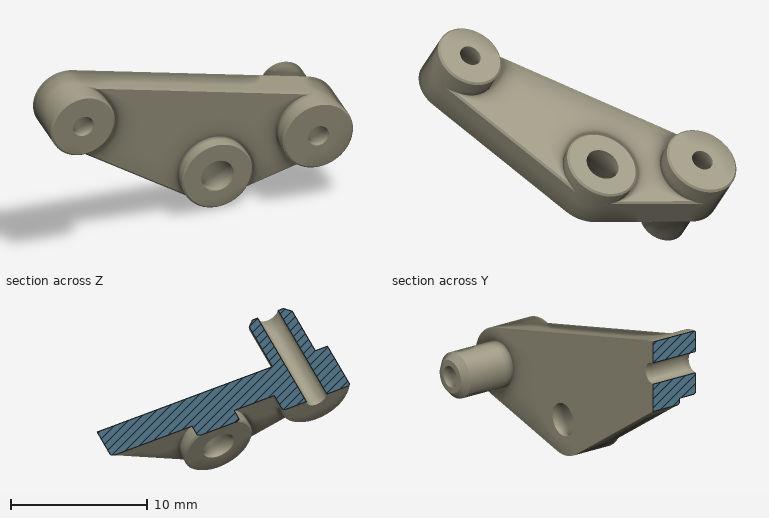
import cadquery as cq
import math

PLATE_THICKNESS = 2.5
END_BOSS_HEIGHT = 4.0
MIDDLE_BOSS_HEIGHT = 3.5
EDGE_CHAMFER = 0.15

LARGE_BOSS_RADIUS = 5.5 / 2
SMALL_BOSS_RADIUS = 5.0 / 2

OVERALL_LENGTH = 23.55
OVERALL_HEIGHT = 11.92
MIDDLE_Y = -7.68
MIDDLE_Z = -2.15

PIN_DIAMETER = 3.5
PIN_LENGTH = 4.5
PIN_CHAMFER = 0.5
SMALL_BORE = 1.63
MIDDLE_BORE = 2.52

FAR_Y = -(OVERALL_LENGTH - LARGE_BOSS_RADIUS - SMALL_BOSS_RADIUS)
FAR_Z = OVERALL_HEIGHT - LARGE_BOSS_RADIUS - SMALL_BOSS_RADIUS + MIDDLE_Z

PIN_PIVOT = ((0.0, 0.0), LARGE_BOSS_RADIUS, END_BOSS_HEIGHT, SMALL_BORE)
MIDDLE_PIVOT = ((MIDDLE_Y, MIDDLE_Z), LARGE_BOSS_RADIUS, MIDDLE_BOSS_HEIGHT, MIDDLE_BORE)
FAR_PIVOT = ((FAR_Y, FAR_Z), SMALL_BOSS_RADIUS, END_BOSS_HEIGHT, SMALL_BORE)

PIVOTS = [PIN_PIVOT, FAR_PIVOT, MIDDLE_PIVOT]


def point_on_circle(center, radius, angle):
    return (center[0] + radius * math.cos(angle), center[1] + radius * math.sin(angle))


def tangent_angle(start, end):
    """Direction of the outward normal of the outer tangent between two bosses."""
    (start_y, start_z), start_radius = start[:2]
    (end_y, end_z), end_radius = end[:2]
    distance = math.hypot(end_y - start_y, end_z - start_z)
    heading = math.atan2(end_z - start_z, end_y - start_y)
    return heading - math.acos((start_radius - end_radius) / distance)


def make_plate():
    """Plate bounded by the bosses' arcs and their outer tangents, front edge chamfered."""
    count = len(PIVOTS)
    angles = [tangent_angle(PIVOTS[i], PIVOTS[(i + 1) % count]) for i in range(count)]
    first_center, first_radius = PIVOTS[0][:2]
    outline = cq.Workplane("YZ").moveTo(*point_on_circle(first_center, first_radius, angles[-1]))
    for i, (center, radius, _, _) in enumerate(PIVOTS):
        arrival = angles[i - 1]
        turn = (angles[i] - arrival) % (2 * math.pi)
        if i > 0:
            outline = outline.lineTo(*point_on_circle(center, radius, arrival))
        middle = point_on_circle(center, radius, arrival + turn / 2)
        outline = outline.threePointArc(middle, point_on_circle(center, radius, angles[i]))
    return outline.close().extrude(PLATE_THICKNESS).faces(">X").chamfer(EDGE_CHAMFER)


def make_boss(center, radius, height):
    boss = cq.Workplane("YZ").center(*center).circle(radius).extrude(height)
    return boss.faces(">X").chamfer(EDGE_CHAMFER)


def make_pin():
    pin = cq.Workplane("YZ").circle(PIN_DIAMETER / 2).extrude(-PIN_LENGTH)
    return pin.faces("<X").chamfer(PIN_CHAMFER)


def make_bore(center, diameter):
    """Cutter running from the pin tip to the top of the end bosses."""
    start = cq.Workplane("YZ").workplane(offset=-PIN_LENGTH)
    return start.center(*center).circle(diameter / 2).extrude(PIN_LENGTH + END_BOSS_HEIGHT)


result = make_plate().union(make_pin())
for center, radius, height, _ in PIVOTS:
    result = result.union(make_boss(center, radius, height))
for center, _, _, bore in PIVOTS:
    result = result.cut(make_bore(center, bore))